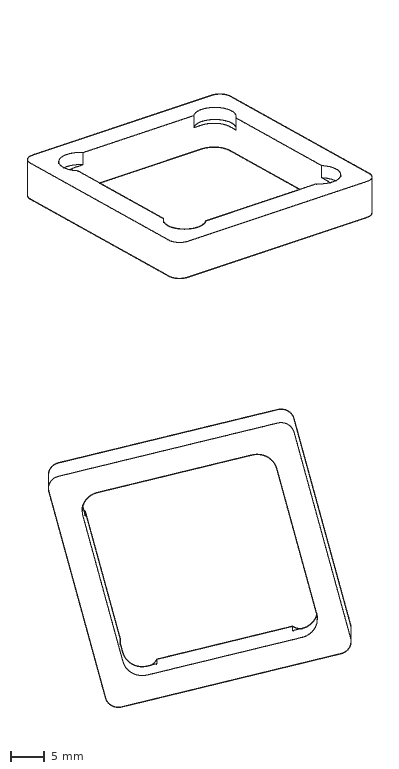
import cadquery as cq

outer_side = 38.0
height = 6.0
wall = 4.0
outer_corner_radius = 2.0
inner_corner_radius = 3.0
inner_side = outer_side - 2 * wall

pocket_radius = 3.2
pocket_depth = 2.0
pocket_overcut = 1.0
pocket_spacing = inner_side + 2 * (pocket_overcut - pocket_radius)


def rounded_square(side, corner_radius):
    """Square prism of the frame's height with rounded vertical edges, standing on Z = 0."""
    block = cq.Workplane("XY").rect(side, side).extrude(height)
    return block.edges("|Z").fillet(corner_radius)


def corner_pockets():
    """Four discs that cut the pockets down from the top face."""
    return (
        cq.Workplane("XY", origin=(0, 0, height))
        .rect(pocket_spacing, pocket_spacing, forConstruction=True)
        .vertices()
        .circle(pocket_radius)
        .extrude(-pocket_depth)
    )


frame = rounded_square(outer_side, outer_corner_radius).cut(
    rounded_square(inner_side, inner_corner_radius)
)
result = frame.cut(corner_pockets())